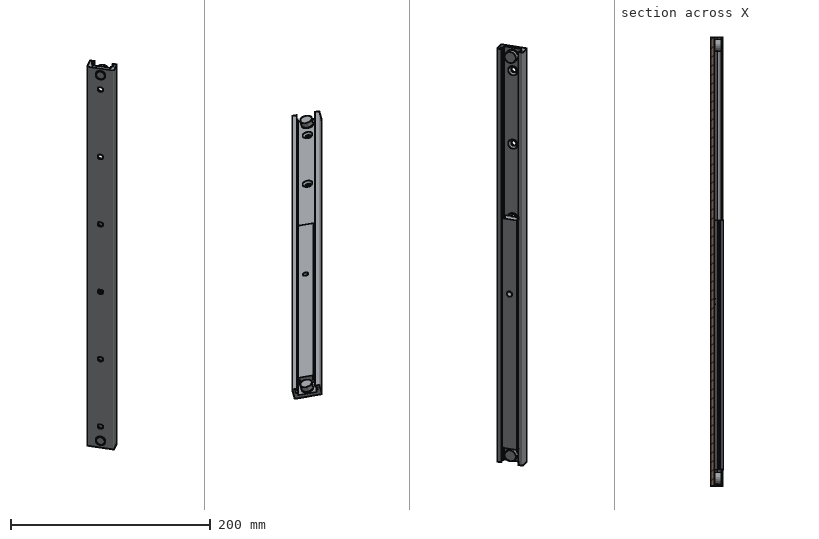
import cadquery as cq


RAIL_WIDTH = 28.0
RAIL_HEIGHT = 12.25
RAIL_LENGTH = 450.0
FLOOR_THICKNESS = 4.0
CHANNEL_WIDTH = 18.8
CORNER_RADIUS = 1.0
HOLE_DIAMETER = 5.5
SINK_DIAMETER = 10.0
SINK_HALF_ANGLE = 45.0
SINK_DEPTH = (SINK_DIAMETER - HOLE_DIAMETER) / 2
HOLE_PITCH = 80.0
HOLE_COUNT = 6

RACEWAY_HEIGHT = 8.5
RACEWAY_RADIUS = 2.0
RAIL_RACEWAY_OFFSET = CHANNEL_WIDTH / 2
SLIDER_RACEWAY_OFFSET = 8.6

TOTAL_HEIGHT = 12.9
SLIDER_WIDTH = 15.8
SLIDER_BOTTOM = 4.4
SLIDER_LENGTH = 250.0
SLIDER_TOP_Z = 41.5
SLIDER_HOLE_Z = -HOLE_PITCH / 2

CAGE_OFFSET = SLIDER_RACEWAY_OFFSET
CAGE_THICKNESS = 1.0
CAGE_HEIGHT = 2.4

STOP_PIN_DIAMETER = 10.0
STOP_PIN_CHAMFER = 0.6
STOP_DISC_DIAMETER = 12.0
STOP_DISC_TOP = 10.8
STOP_END_DISTANCE = 8.0


def box(width, bottom, top, length, center_x=0.0, center_z=0.0):
    """Box with its lower Y face at bottom and its upper Y face at top."""
    middle = (center_x, (bottom + top) / 2, center_z)
    return cq.Workplane("XY").box(width, top - bottom, length).translate(middle)


def cylinder_y(diameter, bottom, top, z):
    """Cylinder along Y on the middle of the rail."""
    base = cq.Workplane("XZ", origin=(0, bottom, z))
    return base.circle(diameter / 2).extrude(bottom - top)


def screw_hole_cutter(z):
    """Through hole in the rail floor with a 90 degree countersink on the channel side."""
    sink = cq.Workplane("XZ", origin=(0, FLOOR_THICKNESS, z)).circle(SINK_DIAMETER / 2)
    sink = sink.extrude(SINK_DEPTH, taper=SINK_HALF_ANGLE)
    return cylinder_y(HOLE_DIAMETER, 0, FLOOR_THICKNESS, z).union(sink)


def raceway_cutters(offset, length, center_z=0.0):
    """Two round bars along the ball tracks."""
    base = cq.Workplane("XY", origin=(0, RACEWAY_HEIGHT, center_z - length / 2))
    tracks = [(-offset, 0), (offset, 0)]
    return base.pushPoints(tracks).circle(RACEWAY_RADIUS).extrude(length)


def make_rail(stop_positions):
    rail = box(RAIL_WIDTH, 0, RAIL_HEIGHT, RAIL_LENGTH).edges("|Z").fillet(CORNER_RADIUS)
    rail = rail.cut(box(CHANNEL_WIDTH, FLOOR_THICKNESS, RAIL_HEIGHT, RAIL_LENGTH))
    rail = rail.cut(raceway_cutters(RAIL_RACEWAY_OFFSET, RAIL_LENGTH))
    for index in range(HOLE_COUNT):
        hole_z = (index - (HOLE_COUNT - 1) / 2) * HOLE_PITCH
        rail = rail.cut(screw_hole_cutter(hole_z))
    for stop_z in stop_positions:
        rail = rail.cut(cylinder_y(STOP_PIN_DIAMETER, 0, FLOOR_THICKNESS, stop_z))
    return rail


def make_slider(center_z):
    slider = box(SLIDER_WIDTH, SLIDER_BOTTOM, TOTAL_HEIGHT, SLIDER_LENGTH, center_z=center_z)
    tracks = raceway_cutters(SLIDER_RACEWAY_OFFSET, SLIDER_LENGTH, center_z)
    slider = slider.cut(tracks)
    return slider.cut(cylinder_y(HOLE_DIAMETER, SLIDER_BOTTOM, TOTAL_HEIGHT, SLIDER_HOLE_Z))


def make_cage(side, center_z):
    bottom = RACEWAY_HEIGHT - CAGE_HEIGHT / 2
    top = RACEWAY_HEIGHT + CAGE_HEIGHT / 2
    return box(CAGE_THICKNESS, bottom, top, SLIDER_LENGTH, side * CAGE_OFFSET, center_z)


def make_stop(stop_z):
    """Flush pin in the rail floor with a wider disc standing in the channel."""
    pin = cylinder_y(STOP_PIN_DIAMETER, 0, FLOOR_THICKNESS, stop_z)
    pin = pin.faces("<Y").chamfer(STOP_PIN_CHAMFER)
    disc = cylinder_y(STOP_DISC_DIAMETER, FLOOR_THICKNESS, STOP_DISC_TOP, stop_z)
    return pin.union(disc)


stop_distance = RAIL_LENGTH / 2 - STOP_END_DISTANCE
stop_positions = [-stop_distance, stop_distance]
slider_center_z = SLIDER_TOP_Z - SLIDER_LENGTH / 2

rail = make_rail(stop_positions)
slider = make_slider(slider_center_z)
cages = [make_cage(side, slider_center_z) for side in (-1, 1)]
stops = [make_stop(stop_z) for stop_z in stop_positions]

result = cq.Compound.makeCompound([body.val() for body in (rail, slider, *cages, *stops)])